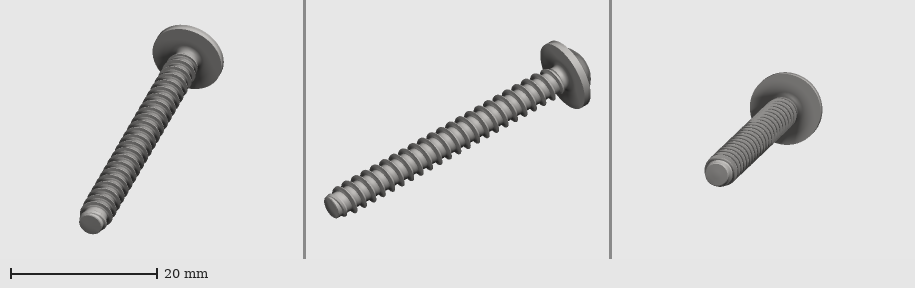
import cadquery as cq
import math


total_length = 43.2

flange_radius = 10.0 / 2
flange_thickness = 1.05
dome_height = 2.1
dome_base_radius = 4.25
dome_top_radius = 2.2
dome_bulge = 0.195
dome_fillet = 0.25

neck_radius = 1.75
neck_length = 1.15
neck_fillet = 0.65
neck_taper_length = 0.15

core_radius = 1.65
tip_chamfer = 0.11
tip_point_height = 0.1

thread_radius = 2.3
thread_root_head_width = 0.48
thread_root_tip_width = 0.325
thread_knee_radius = 1.85
thread_knee_half_width = 0.15
thread_crest_half_width = 0.05
thread_start = 0.95
thread_turns = 23.75
thread_length = 38.7
thread_pitch = thread_length / thread_turns
thread_overlap = 0.15

run_in_radius = 1.85
run_in_length = 2.15
run_out_length = 2.25

shank_length = total_length - flange_thickness - dome_height
tip_rim = shank_length - tip_point_height
cylinder_end = tip_rim - tip_chamfer


def make_body():
    """Head, flange, neck and core as one turned profile."""
    head_top = -flange_thickness - dome_height
    run = dome_base_radius - dome_top_radius
    chord = math.hypot(run, dome_height)
    dome_mid_radius = (dome_base_radius + dome_top_radius) / 2 + dome_bulge * dome_height / chord
    dome_mid_z = head_top + dome_height / 2 - dome_bulge * run / chord
    fillet_reach = neck_fillet * (1 - math.sqrt(0.5))

    profile = (
        cq.Workplane("XZ")
        .moveTo(0, head_top)
        .lineTo(dome_top_radius, head_top)
        .threePointArc((dome_mid_radius, dome_mid_z), (dome_base_radius, -flange_thickness))
        .lineTo(flange_radius, -flange_thickness)
        .lineTo(flange_radius, 0)
        .lineTo(neck_radius + neck_fillet, 0)
        .threePointArc((neck_radius + fillet_reach, fillet_reach), (neck_radius, neck_fillet))
        .lineTo(neck_radius, neck_length)
        .lineTo(core_radius, neck_length + neck_taper_length)
        .lineTo(core_radius, cylinder_end)
        .lineTo(core_radius - tip_chamfer, tip_rim)
        .lineTo(0, shank_length)
        .close()
    )
    body = profile.revolve(360, (0, 0, 0), (0, 1, 0))
    dome_base_edge = cq.selectors.RadiusNthSelector(0)
    return body.faces("<Z[1]").edges(dome_base_edge).fillet(dome_fillet)


def flared_width(root_width):
    """Width of one side of the thread root, carried on along its flare to below the core surface."""
    flare = (root_width - thread_knee_half_width) / (thread_knee_radius - core_radius)
    return root_width + flare * thread_overlap


def make_thread_ridge():
    """Right-handed ridge with a steep crest on a flared, uneven root, reaching slightly into the core."""
    inner_radius = core_radius - thread_overlap
    head_side = flared_width(thread_root_head_width)
    tip_side = flared_width(thread_root_tip_width)
    helix = cq.Wire.makeHelix(thread_pitch, thread_length, core_radius)
    section = cq.Workplane("XZ").polyline([
        (inner_radius, -head_side),
        (thread_knee_radius, -thread_knee_half_width),
        (thread_radius, -thread_crest_half_width),
        (thread_radius, thread_crest_half_width),
        (thread_knee_radius, thread_knee_half_width),
        (inner_radius, tip_side),
    ]).close()
    ridge = section.sweep(cq.Workplane(obj=helix), isFrenet=True)
    return ridge.rotate((0, 0, 0), (0, 0, 1), -90).translate((0, 0, thread_start))


def make_thread_envelope():
    """Turned limit that fades the thread height in at the neck and out at the tip."""
    envelope_start = thread_start - thread_root_head_width
    envelope_radius = thread_radius + thread_overlap
    run_in_slope = (thread_radius - run_in_radius) / run_in_length
    run_out_slope = (thread_radius - core_radius) / run_out_length
    return (
        cq.Workplane("XZ")
        .moveTo(0, envelope_start)
        .lineTo(run_in_radius, envelope_start)
        .lineTo(envelope_radius, envelope_start + (envelope_radius - run_in_radius) / run_in_slope)
        .lineTo(envelope_radius, cylinder_end - (envelope_radius - core_radius) / run_out_slope)
        .lineTo(core_radius, cylinder_end)
        .lineTo(0, cylinder_end)
        .close()
        .revolve(360, (0, 0, 0), (0, 1, 0))
    )


thread = make_thread_ridge().intersect(make_thread_envelope())
screw = make_body().union(thread)
result = screw.rotate((0, 0, 0), (1, 0, 0), 90)